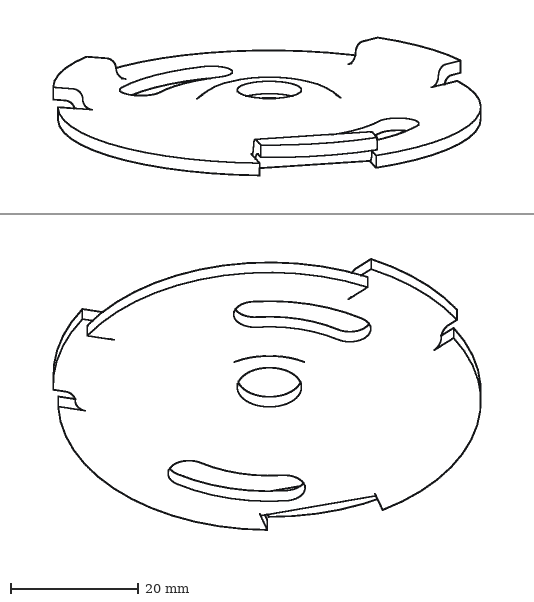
import cadquery as cq
import math

thickness = 2.0
total_height = 5.2
overall_length = 67.1
disc_diameter = 66.4
disc_radius = disc_diameter / 2

hole_radius = 5.05
dome_flat_radius = 6.6
dome_foot_radius = 13.0
dome_height = 4.75
foot_fillet = 2.0

slot_centre_radius = 22.5
slot_width = 6.6
slot_half_angle = 20.0
slot_angles = (0, 180)

tab_radius = overall_length - disc_radius
tab_width = 18.8
bend_start = 26.2
bend_shift = 1.3
tab_angles = (0, 120, 240)


def dished_disc():
    """Disc with a dome of constant sheet thickness, revolved about Z."""
    dome_run = dome_foot_radius - dome_flat_radius
    dome_rise = dome_height - thickness
    slope = 2 * math.atan(dome_rise / dome_run)
    dome_curve = dome_run / math.sin(slope) - foot_fillet

    dome_centre_z = dome_height - dome_curve
    foot_centre_z = thickness + foot_fillet

    def dome_point(radius, angle):
        return (dome_flat_radius + radius * math.sin(angle), dome_centre_z + radius * math.cos(angle))

    def foot_point(radius, angle):
        return (dome_foot_radius - radius * math.sin(angle), foot_centre_z - radius * math.cos(angle))

    under_dome = dome_curve - thickness
    under_foot = foot_fillet + thickness
    profile = (
        cq.Workplane("XZ")
        .moveTo(hole_radius, dome_height)
        .lineTo(dome_flat_radius, dome_height)
        .threePointArc(dome_point(dome_curve, slope / 2), dome_point(dome_curve, slope))
        .threePointArc(foot_point(foot_fillet, slope / 2), (dome_foot_radius, thickness))
        .lineTo(disc_radius, thickness)
        .lineTo(disc_radius, 0)
        .lineTo(dome_foot_radius, 0)
        .threePointArc(foot_point(under_foot, slope / 2), foot_point(under_foot, slope))
        .threePointArc(dome_point(under_dome, slope / 2), (dome_flat_radius, dome_height - thickness))
        .lineTo(hole_radius, dome_height - thickness)
        .close()
    )
    return profile.revolve(360, (0, 0, 0), (0, 1, 0))


def slot_cutter():
    """Curved slot with round ends, centred on the +X axis."""
    inner = slot_centre_radius - slot_width / 2
    outer = slot_centre_radius + slot_width / 2
    end_angle = math.radians(slot_half_angle)

    def on_circle(radius, angle):
        return (radius * math.cos(angle), radius * math.sin(angle))

    def end_tip(side):
        x, y = on_circle(slot_centre_radius, side * end_angle)
        return (
            x - slot_width / 2 * math.sin(end_angle),
            y + side * slot_width / 2 * math.cos(end_angle),
        )

    return (
        cq.Workplane("XY")
        .moveTo(*on_circle(outer, -end_angle))
        .threePointArc((outer, 0), on_circle(outer, end_angle))
        .threePointArc(end_tip(1), on_circle(inner, end_angle))
        .threePointArc((inner, 0), on_circle(inner, -end_angle))
        .threePointArc(end_tip(-1), on_circle(outer, -end_angle))
        .close()
        .extrude(thickness)
    )


def notch_cutter():
    """Rim notch left under the tab on the +Y side."""
    length = tab_radius - bend_start
    return (
        cq.Workplane("XY")
        .center(0, bend_start + length / 2)
        .rect(tab_width, length)
        .extrude(thickness)
    )


def tab():
    """Rim strip on the +Y side, jogged upward by an S-bend and trimmed round outside."""
    rise = total_height - thickness
    bend_radius = rise / 2
    under_start = bend_start + bend_shift
    profile = (
        cq.Workplane("YZ", origin=(-tab_width / 2, 0, 0))
        .moveTo(bend_start, thickness)
        .radiusArc((bend_start + bend_radius, thickness + bend_radius), -bend_radius)
        .radiusArc((bend_start + rise, total_height), bend_radius)
        .lineTo(tab_radius, total_height)
        .lineTo(tab_radius, rise)
        .lineTo(under_start + rise, rise)
        .radiusArc((under_start + bend_radius, bend_radius), -bend_radius)
        .radiusArc((under_start, 0), bend_radius)
        .lineTo(bend_start, 0)
        .close()
    )
    rim = cq.Workplane("XY").circle(tab_radius).extrude(total_height)
    return profile.extrude(tab_width).intersect(rim)


def turned(shape, angle):
    """Shape rotated about the disc axis by an angle in degrees."""
    return shape.rotate((0, 0, 0), (0, 0, 1), angle)


result = dished_disc()
for angle in slot_angles:
    result = result.cut(turned(slot_cutter(), angle))
for angle in tab_angles:
    result = result.cut(turned(notch_cutter(), angle))
    result = result.union(turned(tab(), angle))